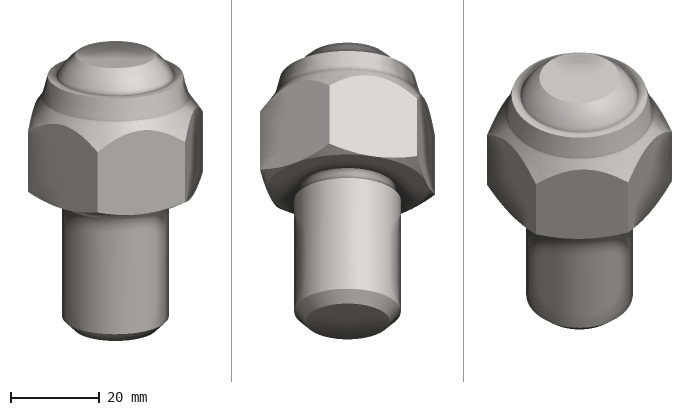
import cadquery as cq
import math

SHANK_TOP = 30.0
HEX_BOTTOM = 33.0
COLLAR_BOTTOM = 55.0
COLLAR_TOP = 60.0
TOTAL_HEIGHT = 65.0

SHANK_DIAMETER = 24.0
NECK_DIAMETER = 21.7
TIP_CHAMFER = 2.5
HEX_FLATS = 36.0
COLLAR_BOTTOM_RADIUS = 16.6
COLLAR_TAPER = 15.0
UPPER_BEVEL = 55.0
LOWER_BEVEL = 30.0

DOME_RADIUS = 15.0
DOME_FLAT_RADIUS = 9.0

HEX_SIDES = 6
HALF_SIDE_ANGLE = 180 / HEX_SIDES
HEX_CORNERS = HEX_FLATS / math.cos(math.radians(HALF_SIDE_ANGLE))
CORNER_CLEARANCE = 1.0


def turned(points):
    """Revolve a closed (radius, height) outline about the Z axis."""
    return cq.Workplane("XZ").polyline(points).close().revolve(360, (0, 0), (0, 1))


def make_shank():
    """Cylindrical shank with a 45 degree tip chamfer and a relief neck above it."""
    shank = cq.Workplane("XY").circle(SHANK_DIAMETER / 2).extrude(SHANK_TOP)
    shank = shank.faces("<Z").chamfer(TIP_CHAMFER)
    neck_height = HEX_BOTTOM - SHANK_TOP
    neck = cq.Workplane("XY").workplane(offset=SHANK_TOP).circle(NECK_DIAMETER / 2).extrude(neck_height)
    return shank.union(neck)


def make_hex():
    """Hexagon with flats facing +X and -X, its corners bevelled by a cone at each end."""
    prism = (
        cq.Workplane("XY")
        .workplane(offset=HEX_BOTTOM)
        .polygon(HEX_SIDES, HEX_CORNERS)
        .extrude(COLLAR_BOTTOM - HEX_BOTTOM)
        .rotate((0, 0, 0), (0, 0, 1), HALF_SIDE_ANGLE)
    )
    envelope_radius = HEX_CORNERS / 2 + CORNER_CLEARANCE
    lower_radius = HEX_FLATS / 2
    lower_rise = (envelope_radius - lower_radius) * math.tan(math.radians(LOWER_BEVEL))
    upper_drop = (envelope_radius - COLLAR_BOTTOM_RADIUS) * math.tan(math.radians(UPPER_BEVEL))
    envelope = turned([
        (0, HEX_BOTTOM),
        (lower_radius, HEX_BOTTOM),
        (envelope_radius, HEX_BOTTOM + lower_rise),
        (envelope_radius, COLLAR_BOTTOM - upper_drop),
        (COLLAR_BOTTOM_RADIUS, COLLAR_BOTTOM),
        (0, COLLAR_BOTTOM),
    ])
    return prism.intersect(envelope)


def make_collar():
    """Tapered collar between the hexagon and the dome."""
    taper_inset = (COLLAR_TOP - COLLAR_BOTTOM) * math.tan(math.radians(COLLAR_TAPER))
    return turned([
        (0, COLLAR_BOTTOM),
        (COLLAR_BOTTOM_RADIUS, COLLAR_BOTTOM),
        (COLLAR_BOTTOM_RADIUS - taper_inset, COLLAR_TOP),
        (0, COLLAR_TOP),
    ])


def make_dome():
    """Zone of a sphere standing on the collar, with a flat top."""
    center_height = TOTAL_HEIGHT - math.sqrt(DOME_RADIUS**2 - DOME_FLAT_RADIUS**2)

    def radius_at(height):
        return math.sqrt(DOME_RADIUS**2 - (height - center_height) ** 2)

    middle = (COLLAR_TOP + TOTAL_HEIGHT) / 2
    return (
        cq.Workplane("XZ")
        .moveTo(0, COLLAR_TOP)
        .lineTo(radius_at(COLLAR_TOP), COLLAR_TOP)
        .threePointArc((radius_at(middle), middle), (DOME_FLAT_RADIUS, TOTAL_HEIGHT))
        .lineTo(0, TOTAL_HEIGHT)
        .close()
        .revolve(360, (0, 0), (0, 1))
    )


result = make_shank().union(make_hex()).union(make_collar()).union(make_dome())